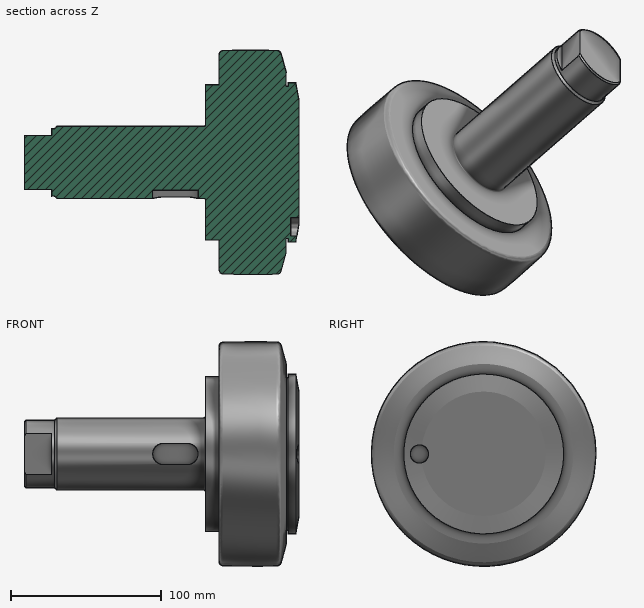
import cadquery as cq
import math

TOTAL_LENGTH = 182.0

TIP_DIAMETER = 45.0
TIP_CHAMFER = 1.0
SHANK_DIAMETER = 48.0
SHANK_START = 20.0
SHANK_CHAMFER = (SHANK_DIAMETER - TIP_DIAMETER) / 2
SHANK_ROOT_FILLET = 1.0

FLATS_WIDTH = 36.0
FLATS_LENGTH = 18.0

POCKET_START = 85.0
POCKET_LENGTH = 30.0
POCKET_WIDTH = 14.0
POCKET_DEPTH = 5.5

FLANGE_DIAMETER = 103.0
FLANGE_START = 120.0

ROLLER_DIAMETER = 149.0
ROLLER_START = 128.9
ROLLER_END = 173.6
ROLLER_FILLET = 3.1
CROWN_RADIUS = 500.5
CROWN_CENTER_X = 149.8
SHOULDER_INNER_DIAMETER = 119.0
SHOULDER_ANGLE = 75.0

NECK_DIAMETER = 101.2
CAP_DIAMETER = 106.0
CAP_START = 174.7
CAP_CONE_START = 179.8
CAP_CONE_ANGLE = 79.5

CAP_HOLE_DIAMETER = 12.0
CAP_HOLE_OFFSET = 42.5
CAP_HOLE_DEPTH = 5.5


def disc(diameter, start, end):
    """Cylinder around the X axis from start to end."""
    return cq.Workplane("YZ", origin=(start, 0, 0)).circle(diameter / 2).extrude(end - start)


def revolve_profile(profile):
    """Close an XY profile and turn it around the X axis."""
    return profile.close().revolve(360, (0, 0, 0), (1, 0, 0))


def rim_radius_at(x):
    """Rim radius of the crowned roller at position x."""
    drop = CROWN_RADIUS - math.sqrt(CROWN_RADIUS**2 - (x - CROWN_CENTER_X) ** 2)
    return ROLLER_DIAMETER / 2 - drop


def make_stud():
    """Tip, shank and flange, with the shank blended into the flange."""
    root_radius = SHANK_DIAMETER / 2
    fillet_start = FLANGE_START - SHANK_ROOT_FILLET
    fillet_top = root_radius + SHANK_ROOT_FILLET
    fillet_sag = SHANK_ROOT_FILLET * (1 - math.sqrt(0.5))
    profile = (
        cq.Workplane("XY")
        .moveTo(0, 0)
        .lineTo(0, TIP_DIAMETER / 2 - TIP_CHAMFER)
        .lineTo(TIP_CHAMFER, TIP_DIAMETER / 2)
        .lineTo(SHANK_START, TIP_DIAMETER / 2)
        .lineTo(SHANK_START + SHANK_CHAMFER, root_radius)
        .lineTo(fillet_start, root_radius)
        .threePointArc((FLANGE_START - fillet_sag, root_radius + fillet_sag), (FLANGE_START, fillet_top))
        .lineTo(FLANGE_START, FLANGE_DIAMETER / 2)
        .lineTo(ROLLER_START, FLANGE_DIAMETER / 2)
        .lineTo(ROLLER_START, 0)
    )
    return revolve_profile(profile)


def make_roller():
    """Crowned roller whose two rim corners are rounded."""
    rim_radius = ROLLER_DIAMETER / 2
    shoulder_inner_radius = SHOULDER_INNER_DIAMETER / 2
    shoulder_run = (rim_radius - shoulder_inner_radius) / math.tan(math.radians(SHOULDER_ANGLE))
    rim_end = ROLLER_END - shoulder_run
    profile = (
        cq.Workplane("XY")
        .moveTo(ROLLER_START, 0)
        .lineTo(ROLLER_START, rim_radius_at(ROLLER_START))
        .threePointArc((CROWN_CENTER_X, rim_radius), (rim_end, rim_radius_at(rim_end)))
        .lineTo(ROLLER_END, shoulder_inner_radius)
        .lineTo(ROLLER_END, 0)
    )
    shoulder_inner_edge = cq.selectors.RadiusNthSelector(0)
    rim_corners = cq.selectors.SubtractSelector(cq.selectors.TypeSelector("CIRCLE"), shoulder_inner_edge)
    return revolve_profile(profile).edges(rim_corners).fillet(ROLLER_FILLET)


def make_cap():
    """Neck and end cap with a conical outer face."""
    cap_radius = CAP_DIAMETER / 2
    cone_drop = (TOTAL_LENGTH - CAP_CONE_START) * math.tan(math.radians(CAP_CONE_ANGLE))
    profile = (
        cq.Workplane("XY")
        .moveTo(ROLLER_END, 0)
        .lineTo(ROLLER_END, NECK_DIAMETER / 2)
        .lineTo(CAP_START, NECK_DIAMETER / 2)
        .lineTo(CAP_START, cap_radius)
        .lineTo(CAP_CONE_START, cap_radius)
        .lineTo(TOTAL_LENGTH, cap_radius - cone_drop)
        .lineTo(TOTAL_LENGTH, 0)
    )
    return revolve_profile(profile)


def make_flat_cutter():
    """Everything around the tip that lies outside the two wrench flats."""
    block = cq.Workplane("XY").box(FLATS_LENGTH, SHANK_DIAMETER, SHANK_DIAMETER)
    kept = cq.Workplane("XY").box(FLATS_LENGTH, FLATS_WIDTH, SHANK_DIAMETER)
    return block.cut(kept).translate((FLATS_LENGTH / 2, 0, 0))


def make_pocket_cutter():
    """Round-ended pocket cut into the shank from -Y."""
    center_x = POCKET_START + POCKET_LENGTH / 2
    outline = cq.Workplane("XZ", origin=(center_x, -SHANK_DIAMETER / 2, 0))
    return outline.slot2D(POCKET_LENGTH, POCKET_WIDTH).extrude(-POCKET_DEPTH)


def make_cap_hole_cutter():
    """Blind hole drilled along X into the end face of the cap."""
    hole = disc(CAP_HOLE_DIAMETER, TOTAL_LENGTH - CAP_HOLE_DEPTH, TOTAL_LENGTH)
    return hole.translate((0, -CAP_HOLE_OFFSET, 0))


body = make_stud().union(make_roller()).union(make_cap())
result = body.cut(make_flat_cutter()).cut(make_pocket_cutter()).cut(make_cap_hole_cutter())